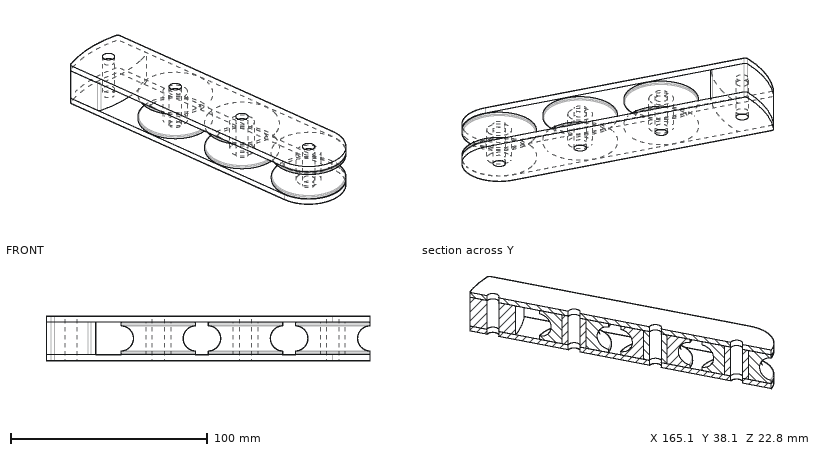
import cadquery as cq
import math

length = 165.1
width = 38.1
height = 22.8
half_width = width / 2
plate_thickness = 3.1
gap_height = height - 2 * plate_thickness

hole_diameter = 6.3
hole_count = 4
block_hole_x = 12.7
last_hole_x = length - half_width
hole_pitch = (last_hole_x - block_hole_x) / (hole_count - 1)
hole_xs = [block_hole_x + hole_pitch * i for i in range(hole_count)]
pulley_xs = hole_xs[1:]

bow_radius = 63.5
bow_depth = bow_radius - math.sqrt(bow_radius**2 - half_width**2)
corner_radius = 1.7
block_length = 2 * block_hole_x

groove_radius = 6.35
rim_fillet = 0.5
bushing_diameter = 12.7


def make_plate(bottom_z):
    """Side plate: bowed at one end, fully rounded at the other, with the hole row."""
    blank = (
        cq.Workplane("XY")
        .moveTo(bow_depth, -half_width)
        .lineTo(last_hole_x, -half_width)
        .threePointArc((length, 0), (last_hole_x, half_width))
        .lineTo(bow_depth, half_width)
        .threePointArc((0, 0), (bow_depth, -half_width))
        .close()
        .extrude(plate_thickness)
        .edges("|Z")
        .edges("<X")
        .fillet(corner_radius)
    )
    holes = (
        cq.Workplane("XY")
        .pushPoints([(x, 0) for x in hole_xs])
        .circle(hole_diameter / 2)
        .extrude(plate_thickness)
    )
    return blank.cut(holes).translate((0, 0, bottom_z))


def make_block():
    """Spacer block: bowed at both ends, with one hole through its centre."""
    blank = (
        cq.Workplane("XY")
        .moveTo(bow_depth, -half_width)
        .lineTo(block_length - bow_depth, -half_width)
        .threePointArc((block_length, 0), (block_length - bow_depth, half_width))
        .lineTo(bow_depth, half_width)
        .threePointArc((0, 0), (bow_depth, -half_width))
        .close()
        .extrude(gap_height)
        .edges("|Z")
        .fillet(corner_radius)
    )
    hole = cq.Workplane("XY").center(block_hole_x, 0).circle(hole_diameter / 2).extrude(gap_height)
    return blank.cut(hole).translate((0, 0, plate_thickness))


def make_pulley(x):
    """Pulley as wide as the plates, with a half-round rope groove and a bore for its bushing."""
    rim_radius = half_width
    bore_radius = bushing_diameter / 2
    half_height = gap_height / 2
    turned = (
        cq.Workplane("XZ")
        .moveTo(bore_radius, -half_height)
        .lineTo(rim_radius, -half_height)
        .lineTo(rim_radius, -groove_radius)
        .threePointArc((rim_radius - groove_radius, 0), (rim_radius, groove_radius))
        .lineTo(rim_radius, half_height)
        .lineTo(bore_radius, half_height)
        .close()
        .revolve(360, (0, 0, 0), (0, 1, 0))
    )
    rim_edges = cq.selectors.RadiusNthSelector(-1)
    return turned.edges(rim_edges).fillet(rim_fillet).translate((x, 0, height / 2))


def make_bushing(x):
    """Sleeve between the plates that carries one pulley, with its bore flush with the plate holes."""
    return (
        cq.Workplane("XY")
        .circle(bushing_diameter / 2)
        .circle(hole_diameter / 2)
        .extrude(gap_height)
        .translate((x, 0, plate_thickness))
    )


bottom_plate = make_plate(0)
top_plate = make_plate(height - plate_thickness)
block = make_block()
pulleys = [make_pulley(x) for x in pulley_xs]
bushings = [make_bushing(x) for x in pulley_xs]

bodies = [bottom_plate, top_plate, block, *pulleys, *bushings]
result = cq.Compound.makeCompound([body.solids().val() for body in bodies])